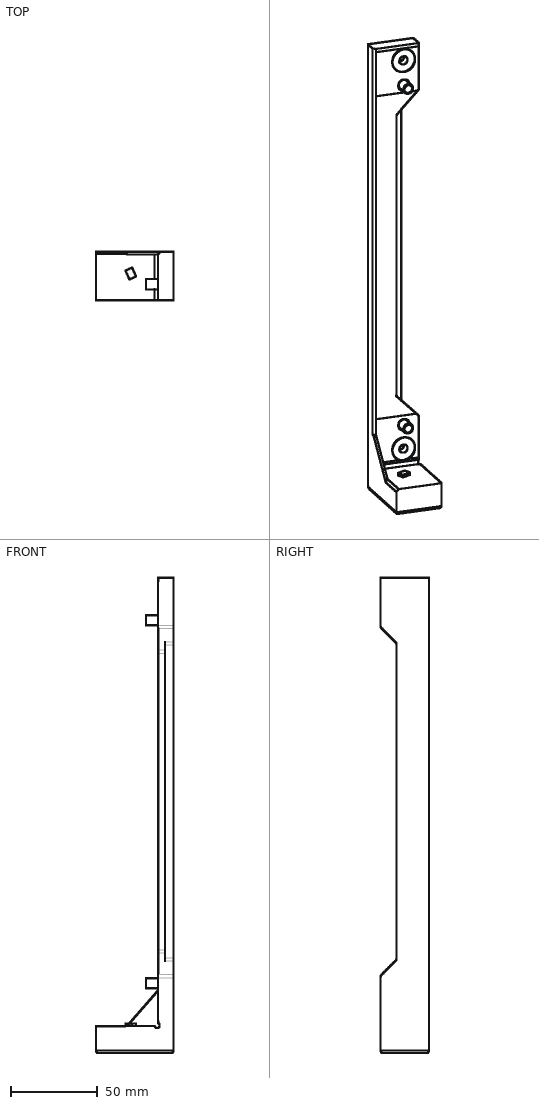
import cadquery as cq
import math

depth = 45.0
width = 28.2
height = 274.6

base_height = 15.6
column_thickness = 9.0
column_face = depth - column_thickness
underside_chamfer_height = 1.5
underside_chamfer_inset = 0.87
edge_chamfer = 1.5
corner_relief_diameter = 3.0
corner_relief_back = 0.6
corner_relief_lift = 0.5

web_thickness = 1.6
web_run = 19.4
web_rise = 22.2

window_front_depth = 14.0
window_back_depth = 9.3
window_front_layer = 4.0
window_bottom = 44.6
window_top = 246.0
window_fillet = 2.5

pad_height = 27.2
pad_rise = 0.1
pad_top_gap = 2.0
pad_bottom_gap = 3.3
station_y = 9.4
screw_from_base = 9.8
screw_from_top = 9.6
pin_spacing = 15.0
screw_diameter = 5.0
screw_depth = 6.0
drill_point_angle = 118.0
spot_face_diameter = 14.0
spot_face_depth = 0.6

pin_diameter = 6.0
pin_projection = 7.0
pin_engagement = 7.0
pin_end_chamfer_width = 0.6
pin_end_chamfer_length = 0.2
pin_hole_chamfer = 0.5

key_length = 5.6
key_width = 4.2
key_height = 1.5
key_x = 20.2
key_y = 15.5
key_angle = 24.0

lower_screw_z = base_height + screw_from_base
upper_screw_z = height - screw_from_top
pin_heights = (lower_screw_z + pin_spacing, upper_screw_z - pin_spacing)
pad_face = column_face - pad_rise
pad_width = width - edge_chamfer
screw_hole_end = pad_face + screw_depth


def box(x_range, y_range, z_range):
    """Axis-aligned block between pairs of limits."""
    limits = (x_range, y_range, z_range)
    sizes = [high - low for low, high in limits]
    corner = tuple(low for low, high in limits)
    return cq.Workplane("XY").box(*sizes, centered=False).translate(corner)


def x_cylinder(diameter, x_start, x_end, z):
    """Cylinder along X at the stations' common Y."""
    return (
        cq.Workplane("YZ", origin=(x_start, station_y, z))
        .circle(diameter / 2)
        .extrude(x_end - x_start)
    )


def frame():
    """Upright column on a foot, with the inner +Y edges and the underside chamfered."""
    foot = box((0, depth), (0, width), (0, base_height))
    foot = foot.faces("<Z").chamfer(underside_chamfer_height, underside_chamfer_inset)
    foot = foot.edges("|X and >Y and >Z").chamfer(edge_chamfer)
    column = box((column_face, depth), (0, width), (base_height - edge_chamfer, height))
    column = column.edges("|Z and <X and >Y").chamfer(edge_chamfer)
    return foot.union(column)


def web():
    """Thin triangular plate flush with the +Y side."""
    root_z = base_height - edge_chamfer
    root_x = column_face + edge_chamfer
    return (
        cq.Workplane("XZ", origin=(0, width, 0))
        .moveTo(column_face - web_run, root_z)
        .lineTo(column_face, root_z + web_rise)
        .lineTo(root_x, root_z + web_rise)
        .lineTo(root_x, root_z)
        .close()
        .extrude(web_thickness)
    )


def corner_relief():
    """Round undercut along the corner between foot and column."""
    center_x = column_face - corner_relief_back
    center_z = base_height + corner_relief_lift
    return (
        cq.Workplane("XZ", origin=(center_x, 0, center_z))
        .circle(corner_relief_diameter / 2)
        .extrude(-width)
    )


def window(x_start, x_end, cut_depth):
    """Side cutout with 45 degree ends and rounded inner corners."""
    return (
        cq.Workplane("YZ", origin=(x_start, 0, 0))
        .moveTo(0, window_bottom)
        .lineTo(cut_depth, window_bottom + cut_depth)
        .lineTo(cut_depth, window_top - cut_depth)
        .lineTo(0, window_top)
        .close()
        .extrude(x_end - x_start)
        .edges("|X and >Y")
        .fillet(window_fillet)
    )


def pad(z_bottom):
    """Slightly raised contact face on the column."""
    return box((pad_face, column_face), (0, pad_width), (z_bottom, z_bottom + pad_height))


def screw_hole(z):
    """Spot-faced, flat-bottomed blind hole."""
    spot_face = x_cylinder(spot_face_diameter, pad_face, pad_face + spot_face_depth, z)
    return spot_face.union(x_cylinder(screw_diameter, pad_face, screw_hole_end, z))


def drill_point(z):
    """Cone left by the drill at the bottom of a screw hole."""
    radius = screw_diameter / 2
    point_height = radius / math.tan(math.radians(drill_point_angle / 2))
    tip_direction = cq.Vector(1, 0, 0)
    base_center = cq.Vector(screw_hole_end, station_y, z)
    return cq.Workplane(cq.Solid.makeCone(radius, 0, point_height, base_center, tip_direction))


def key():
    """Small rectangular key standing on the foot, turned about Z."""
    return (
        cq.Workplane("XY")
        .rect(key_width, key_length)
        .extrude(key_height)
        .rotate((0, 0, 0), (0, 0, 1), key_angle)
        .translate((key_x, key_y, base_height))
    )


def pin(z):
    """Locating pin with a shallow chamfer on its exposed end."""
    body = x_cylinder(pin_diameter, pad_face - pin_projection, pad_face + pin_engagement, z)
    return body.faces("<X").chamfer(pin_end_chamfer_length, pin_end_chamfer_width)


def pin_hole(z):
    """Blind pin bore with a chamfered mouth."""
    bore = x_cylinder(pin_diameter, pad_face, pad_face + pin_engagement, z)
    mouth = cq.Solid.makeCone(
        pin_diameter / 2 + pin_hole_chamfer,
        pin_diameter / 2,
        pin_hole_chamfer,
        pnt=cq.Vector(pad_face, station_y, z),
        dir=cq.Vector(1, 0, 0),
    )
    return bore.union(cq.Workplane(mouth))


def round_window_rims(body):
    """Round the outer corners where the window ends meet the -Y side."""
    margin = 0.1
    rim_box = cq.selectors.BoxSelector(
        (column_face - margin, -margin, window_bottom - margin),
        (depth + margin, margin, window_top + margin),
    )
    return body.edges("|X").edges(rim_box).fillet(window_fillet)


def bracket():
    """Complete bracket with all of its holes, without the pins."""
    layer_split = column_face + window_front_layer
    body = frame()
    body = body.union(pad(base_height + pad_bottom_gap))
    body = body.union(pad(height - pad_top_gap - pad_height))
    body = body.cut(window(pad_face, layer_split, window_front_depth))
    body = body.cut(window(layer_split, depth, window_back_depth))
    body = round_window_rims(body)
    body = body.cut(corner_relief())
    body = body.union(web())
    body = body.union(key())
    for z in (lower_screw_z, upper_screw_z):
        body = body.cut(screw_hole(z))
    body = body.cut(drill_point(lower_screw_z))
    for z in pin_heights:
        body = body.cut(pin_hole(z))
    return body


pins = [pin(z) for z in pin_heights]

result = cq.Compound.makeCompound([bracket().val(), *[locating_pin.val() for locating_pin in pins]])